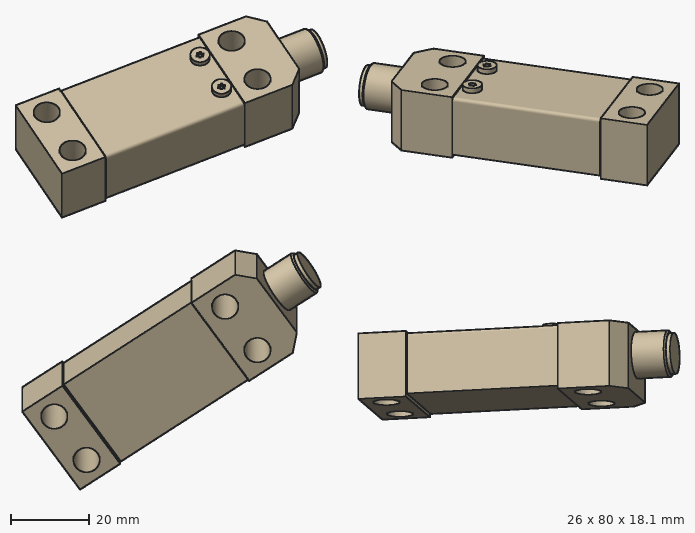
import cadquery as cq
import math

LENGTH = 80.0
WIDTH = 26.0
BLOCK_HEIGHT = 17.1

FRONT_BLOCK_LENGTH = 12.5
CONNECTOR_LENGTH = 10.0
REAR_BLOCK_LENGTH = 17.6
REAR_CHAMFER = 4.0
REAR_BLOCK_END = LENGTH - CONNECTOR_LENGTH
REAR_BLOCK_START = REAR_BLOCK_END - REAR_BLOCK_LENGTH

HOUSING_SIDE_INSET = 0.2
HOUSING_TOP_INSET = 0.4
HOUSING_BOTTOM_INSET = 0.8
HOUSING_FILLET = 0.9
HOUSING_GAP = 0.2
HOUSING_GAP_DEPTH = 0.4
HOUSING_START = FRONT_BLOCK_LENGTH + HOUSING_GAP
HOUSING_WIDTH = WIDTH - 2 * HOUSING_SIDE_INSET
HOUSING_TOP = BLOCK_HEIGHT - HOUSING_TOP_INSET

MOUNT_HOLE_DIAMETER = 6.7
MOUNT_HOLE_SPACING_X = 14.5
MOUNT_HOLE_ROWS_Y = (6.0, 59.0)

CONNECTOR_DIAMETER = 12.0
CONNECTOR_TIP_DIAMETER = 10.6
CONNECTOR_AXIS_Z = 10.5
CONNECTOR_TIP_LENGTH = 1.0
CONNECTOR_CHAMFER = 0.5

SCREW_DIAMETER = 5.0
SCREW_TOP = 18.1
SCREW_SPACING_X = 12.0
SCREW_Y = 49.3
SOCKET_DIAMETER = 2.0
SOCKET_ROOT_DIAMETER = 1.4
SOCKET_DEPTH = 0.8
SOCKET_LOBES = 6


def y_block(width, start, end, bottom, top):
    """Box centred on X between two Y stations and two heights."""
    block = cq.Workplane("XY").box(width, end - start, top - bottom, centered=(True, False, False))
    return block.translate((0, start, bottom))


def pair_across_x(spacing, y):
    """Two points mirrored about X = 0."""
    return [(-spacing / 2, y), (spacing / 2, y)]


def make_blocks():
    front = y_block(WIDTH, 0, FRONT_BLOCK_LENGTH, 0, BLOCK_HEIGHT)
    rear = y_block(WIDTH, REAR_BLOCK_START, REAR_BLOCK_END, 0, BLOCK_HEIGHT)
    rear = rear.edges("|Z and >Y").chamfer(REAR_CHAMFER)
    return front, rear


def make_housing():
    """Rounded housing and the smaller neck that leaves a narrow groove beside the front block."""
    housing = y_block(HOUSING_WIDTH, HOUSING_START, REAR_BLOCK_START, HOUSING_BOTTOM_INSET, HOUSING_TOP)
    housing = housing.edges("|Y and >Z").fillet(HOUSING_FILLET)
    neck = y_block(
        HOUSING_WIDTH - 2 * HOUSING_GAP_DEPTH,
        FRONT_BLOCK_LENGTH,
        HOUSING_START,
        HOUSING_BOTTOM_INSET + HOUSING_GAP_DEPTH,
        HOUSING_TOP - HOUSING_GAP_DEPTH,
    )
    return housing.union(neck)


def make_connector():
    """Stepped plug, revolved about its axis along Y."""
    radius = CONNECTOR_DIAMETER / 2
    tip_radius = CONNECTOR_TIP_DIAMETER / 2
    tip_start = LENGTH - CONNECTOR_TIP_LENGTH
    profile = [
        (0, REAR_BLOCK_END),
        (radius, REAR_BLOCK_END),
        (radius, tip_start - CONNECTOR_CHAMFER),
        (radius - CONNECTOR_CHAMFER, tip_start),
        (tip_radius, tip_start),
        (tip_radius, LENGTH),
        (0, LENGTH),
    ]
    plug = cq.Workplane("XY").polyline(profile).close().revolve(360, (0, 0), (0, 1))
    return plug.translate((0, 0, CONNECTOR_AXIS_Z))


def make_screws():
    heads = cq.Workplane("XY").workplane(offset=HOUSING_TOP)
    heads = heads.pushPoints(pair_across_x(SCREW_SPACING_X, SCREW_Y))
    return heads.circle(SCREW_DIAMETER / 2).extrude(SCREW_TOP - HOUSING_TOP)


def polar(radius, degrees):
    """Point at a radius and an angle counted from +Y."""
    angle = math.radians(degrees)
    return (-radius * math.sin(angle), radius * math.cos(angle))


def make_socket():
    """Six-lobed recess centred on the origin, with one lobe along +Y."""
    pitch = 360 / SOCKET_LOBES
    flank = pitch / 4
    tip_radius = SOCKET_DIAMETER / 2
    root_radius = SOCKET_ROOT_DIAMETER / 2
    flank_radius = (tip_radius + root_radius) / 2
    outline = cq.Workplane("XY").moveTo(*polar(flank_radius, -flank))
    for i in range(SOCKET_LOBES):
        lobe = i * pitch
        outline = outline.threePointArc(polar(tip_radius, lobe), polar(flank_radius, lobe + flank))
        outline = outline.threePointArc(
            polar(root_radius, lobe + pitch / 2), polar(flank_radius, lobe + pitch - flank)
        )
    return outline.close().extrude(SOCKET_DEPTH)


def cut_mounting_holes(body):
    for row_y in MOUNT_HOLE_ROWS_Y:
        holes = cq.Workplane("XY").pushPoints(pair_across_x(MOUNT_HOLE_SPACING_X, row_y))
        body = body.cut(holes.circle(MOUNT_HOLE_DIAMETER / 2).extrude(BLOCK_HEIGHT))
    return body


def cut_sockets(body):
    for x, y in pair_across_x(SCREW_SPACING_X, SCREW_Y):
        body = body.cut(make_socket().translate((x, y, SCREW_TOP - SOCKET_DEPTH)))
    return body


front_block, rear_block = make_blocks()
result = make_housing().union(front_block).union(rear_block)
result = result.union(make_connector()).union(make_screws())
result = cut_sockets(cut_mounting_holes(result))